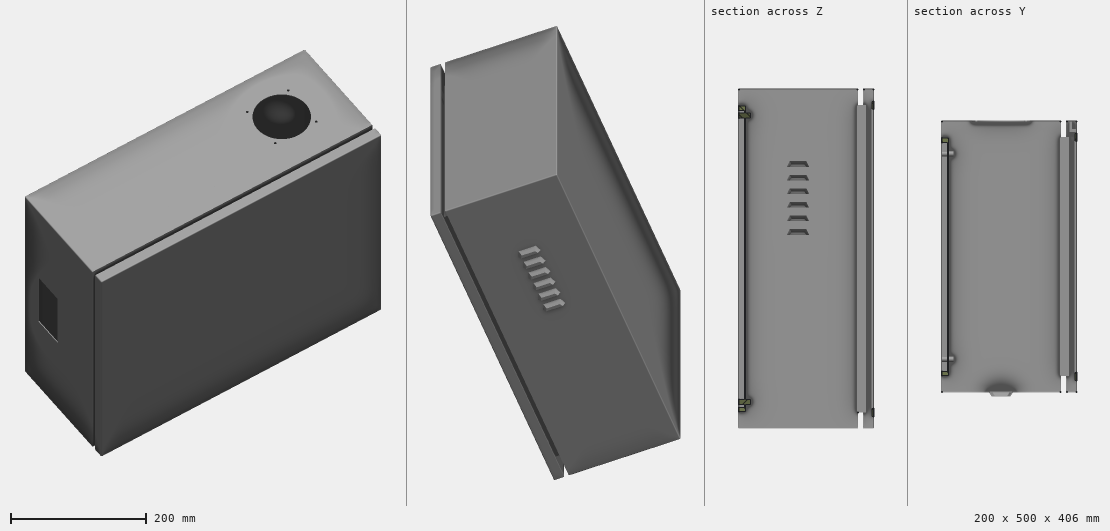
import cadquery as cq

WIDTH = 500
HEIGHT = 400
DEPTH = 200
SHEET = 1.2
EDGE_RADIUS = 1.75

HOUSING_DEPTH = 176.5
COLLAR_INSET = 24.0
COLLAR_END = 188.0

FAN_X = HOUSING_DEPTH / 2
FAN_Y = 148.5
FAN_DIAMETER = 86.0
FAN_SCREW_SPACING = 73.0
FAN_SCREW_DIAMETER = 4.0
WINDOW_X = 61.5
WINDOW_WIDTH = 50
WINDOW_HEIGHT = 100

LOUVRE_COUNT = 6
LOUVRE_PITCH = 20
LOUVRE_FIRST_Y = 35
LOUVRE_DROP = 6.0
LOUVRE_TOP_FRONT = 35
LOUVRE_TOP_BACK = 27.0
LOUVRE_TOP_RUN = 9.5
LOUVRE_BOTTOM_FRONT = 27.0
LOUVRE_BOTTOM_BACK = 21.0
LOUVRE_BOTTOM_RUN = 4.5

DOOR_BACK = 184.0
DOOR_LIP_WIDTH = 4.0

GASKET_THICKNESS = 2.5
GASKET_OUTER_INSET = 18.0
GASKET_INNER_INSET = 30

PLATE_INSET = 25
PLATE_RIM = 7.0
PLATE_STANDOFF = 7.5
PLATE_THICKNESS = 2.0

STUD_DIAMETER = 8.0
STUD_LENGTH = 17.5
STUD_INSET_Y = 39.5
STUD_INSET_Z = 49.0

BRACKET_X = 189.0
BRACKET_DEPTH = 4.0
BRACKET_WIDTH = 22.0
BRACKET_HEIGHT = 15
BRACKET_FOOT = 4.0
BRACKET_GAP = 0.4
BRACKET_OFFSET_Y = 175


def block(x0, x1, inset):
    """Block from x0 to x1 whose four sides lie `inset` inside the outline of the enclosure."""
    return (
        cq.Workplane("XY")
        .box(x1 - x0, WIDTH - 2 * inset, HEIGHT - 2 * inset)
        .translate(((x0 + x1) / 2, 0, HEIGHT / 2))
    )


def frame(x0, x1, outer_inset, inner_inset):
    """Rectangular frame from x0 to x1 between two insets."""
    return block(x0, x1, outer_inset).cut(block(x0, x1, inner_inset))


def louvre_outline(front, back, run, y, z):
    """Closed trapezoid at height z, `front` long at y and `back` long at y + run."""
    corners = [(-front / 2, y), (front / 2, y), (back / 2, y + run), (-back / 2, y + run)]
    return cq.Wire.makePolygon([cq.Vector(FAN_X + dx, dy, z) for dx, dy in corners], close=True)


def louvre_form(y, wall, top):
    """Tapered louvre volume with its upright face at y, drawn in by `wall` and open at the height `top`."""
    narrowing = 2 * wall
    top_sizes = (LOUVRE_TOP_FRONT - narrowing, LOUVRE_TOP_BACK - narrowing, LOUVRE_TOP_RUN - wall)
    bottom_sizes = (LOUVRE_BOTTOM_FRONT - narrowing, LOUVRE_BOTTOM_BACK - narrowing, LOUVRE_BOTTOM_RUN - wall)
    rim = louvre_outline(*top_sizes, y, 0)
    foot = louvre_outline(*bottom_sizes, y, wall - LOUVRE_DROP)
    form = cq.Workplane(obj=cq.Solid.makeLoft([rim, foot], True))
    if top > 0:
        throat = cq.Solid.makeLoft([louvre_outline(*top_sizes, y, top), rim], True)
        form = form.union(cq.Workplane(obj=throat))
    return form


def make_housing():
    shell = block(0, HOUSING_DEPTH, 0).edges("<X or |X").fillet(EDGE_RADIUS)
    shell = shell.cut(block(SHEET, HOUSING_DEPTH - SHEET, SHEET))
    shell = shell.union(block(HOUSING_DEPTH - SHEET, COLLAR_END, COLLAR_INSET))
    shell = shell.cut(block(HOUSING_DEPTH - SHEET, COLLAR_END, COLLAR_INSET + SHEET))

    roof = cq.Workplane("XY", origin=(FAN_X, FAN_Y, HEIGHT - SHEET))
    shell = shell.cut(roof.circle(FAN_DIAMETER / 2).extrude(SHEET))
    screws = roof.rect(FAN_SCREW_SPACING, FAN_SCREW_SPACING, forConstruction=True).vertices()
    shell = shell.cut(screws.circle(FAN_SCREW_DIAMETER / 2).extrude(SHEET))

    window = cq.Workplane("XY").box(WINDOW_WIDTH, SHEET, WINDOW_HEIGHT)
    shell = shell.cut(window.translate((WINDOW_X, (SHEET - WIDTH) / 2, HEIGHT / 2)))

    for i in range(LOUVRE_COUNT):
        y = LOUVRE_FIRST_Y + i * LOUVRE_PITCH
        shell = shell.union(louvre_form(y, 0, 0)).cut(louvre_form(y, SHEET, SHEET))
    return shell


def make_door():
    pan = block(DOOR_BACK, DEPTH, 0).edges(">X or |X").fillet(EDGE_RADIUS)
    pan = pan.cut(block(DOOR_BACK + SHEET, DEPTH - SHEET, SHEET))
    return pan.cut(block(DOOR_BACK, DOOR_BACK + SHEET, DOOR_LIP_WIDTH))


def make_gasket():
    skin = DEPTH - SHEET
    return frame(skin - GASKET_THICKNESS, skin, GASKET_OUTER_INSET, GASKET_INNER_INSET)


def make_studs():
    spots = cq.Workplane("YZ", origin=(SHEET, 0, HEIGHT / 2)).rect(
        WIDTH - 2 * STUD_INSET_Y, HEIGHT - 2 * STUD_INSET_Z, forConstruction=True
    )
    return spots.vertices().circle(STUD_DIAMETER / 2).extrude(STUD_LENGTH)


def make_plate(studs):
    front = SHEET + PLATE_STANDOFF
    rim = frame(SHEET, front, PLATE_INSET, PLATE_INSET + PLATE_RIM)
    plate = rim.union(block(front, front + PLATE_THICKNESS, PLATE_INSET))
    return plate.cut(studs)


def make_bracket(y):
    """Upright plate just under the top flange, with a foot that reaches the door skin."""
    top = HEIGHT - SHEET - BRACKET_GAP
    skin = DEPTH - SHEET
    bottom = top - BRACKET_HEIGHT
    corner = cq.Workplane("XY", origin=(BRACKET_X, y, bottom))
    upright = corner.box(BRACKET_DEPTH, BRACKET_WIDTH, BRACKET_HEIGHT, centered=(False, True, False))
    foot = corner.box(skin - BRACKET_X, BRACKET_WIDTH, BRACKET_FOOT, centered=(False, True, False))
    return upright.union(foot)


housing = make_housing()
door = make_door()
gasket = make_gasket()
studs = make_studs()
plate = make_plate(studs)
brackets = [make_bracket(side * BRACKET_OFFSET_Y) for side in (-1, 1)]

result = cq.Compound.makeCompound(
    [housing.val(), door.val(), gasket.val(), plate.val(), *studs.vals(), *[b.val() for b in brackets]]
)